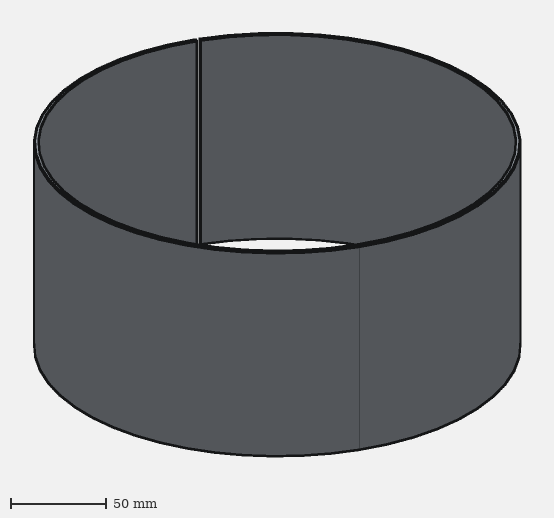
import cadquery as cq
import math

outer_diameter = 255.0
wall = 2.5
height = 120.0
outer_chamfer = 0.5
inner_chamfer = 0.2
slit_angle = 1.0

outer_radius = outer_diameter / 2
inner_radius = outer_radius - wall


def make_sleeve():
    """Thin-walled sleeve standing on the XY plane, bevelled around both end rims."""
    inner_rims = cq.selectors.RadiusNthSelector(0)
    outer_rims = cq.selectors.RadiusNthSelector(-1)
    ring = cq.Workplane("XY").circle(outer_radius).circle(inner_radius).extrude(height)
    ring = ring.faces("<Z or >Z").edges(outer_rims).chamfer(outer_chamfer)
    return ring.faces("<Z or >Z").edges(inner_rims).chamfer(inner_chamfer)


def make_slit():
    """Full-height wedge from the axis, opening from the -X axis toward +Y."""
    reach = outer_radius + wall
    rise = reach * math.tan(math.radians(slit_angle))
    return cq.Workplane("XY").polyline([(0, 0), (-reach, 0), (-reach, rise)]).close().extrude(height)


result = make_sleeve().cut(make_slit())